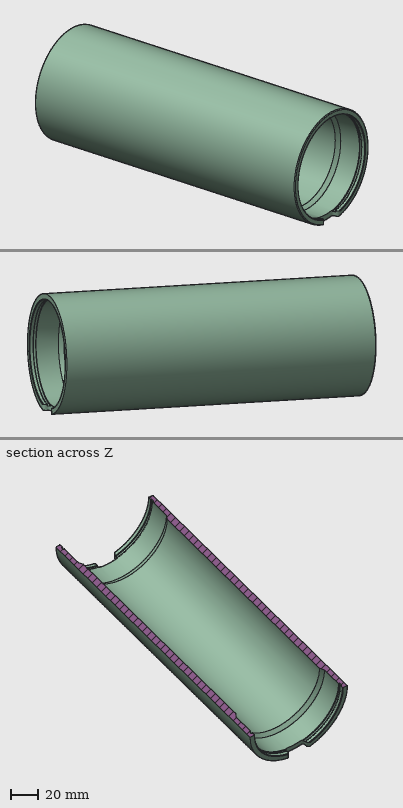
import cadquery as cq

length = 240.0
outer_radius = 44.5
bore_radius = 38.2
outer_chamfer = 0.7

socket_radius = 40.0
socket_depth = 22.5
taper_length = 3.5
mouth_chamfer = 0.5

groove_radius = 41.0
groove_start = 3.0
groove_width = 2.2

notch_width = 16.8
notch_depth = 5.8
notch_round = 2.2

half_length = length / 2


def make_tube():
    blank = cq.Workplane("YZ").circle(outer_radius).extrude(half_length, both=True)
    blank = blank.faces(">X").edges().chamfer(outer_chamfer)
    bore = cq.Workplane("YZ").circle(bore_radius).extrude(half_length, both=True)
    return blank.cut(bore)


def socket_cutter():
    """Stepped bore of the -X end, revolved from its half section."""
    groove_end = groove_start + groove_width
    profile = [
        (0, 0),
        (0, socket_radius + mouth_chamfer),
        (mouth_chamfer, socket_radius),
        (groove_start, socket_radius),
        (groove_start, groove_radius),
        (groove_end, groove_radius),
        (groove_end, socket_radius),
        (socket_depth, socket_radius),
        (socket_depth + taper_length, bore_radius),
        (socket_depth + taper_length, 0),
    ]
    section = cq.Workplane("XY").polyline(profile).close()
    cutter = section.revolve(360, (0, 0, 0), (1, 0, 0))
    return cutter.translate((-half_length, 0, 0))


def notch_cutter():
    """Notch of the -X end, with rounded inner corners and a flared mouth."""
    half_width = notch_width / 2
    mouth_half_width = half_width + notch_round
    floor_half_width = half_width - notch_round
    side_end = notch_depth - notch_round
    outline = (
        cq.Workplane("XY")
        .moveTo(0, -mouth_half_width)
        .radiusArc((notch_round, -half_width), notch_round)
        .lineTo(side_end, -half_width)
        .radiusArc((notch_depth, -floor_half_width), -notch_round)
        .lineTo(notch_depth, floor_half_width)
        .radiusArc((side_end, half_width), -notch_round)
        .lineTo(notch_round, half_width)
        .radiusArc((0, mouth_half_width), notch_round)
        .close()
    )
    return outline.extrude(-outer_radius).translate((-half_length, 0, 0))


result = make_tube()
for end_cutter in (socket_cutter(), notch_cutter()):
    result = result.cut(end_cutter).cut(end_cutter.mirror("YZ"))